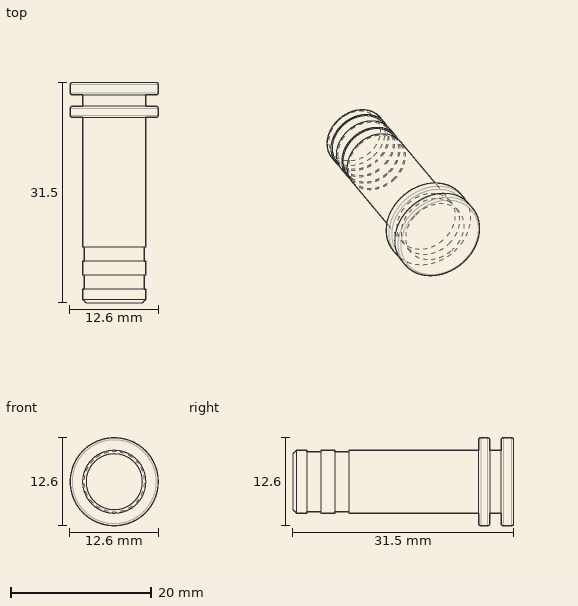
import cadquery as cq

length = 31.5
shank_diameter = 9.0
flange_diameter = 12.6

tip_chamfer = 0.5
grooved_length = 8.0
band_width = grooved_length / 4
groove_diameter = 8.6
groove_starts = [band_width, 3 * band_width]

head_thickness = 1.8
gap_width = 1.6
collar_thickness = 1.6
flange_edge_radius = 0.3


def disc(diameter, start, thickness):
    """Cylinder along +Y whose near face is the given distance from the tip."""
    return (
        cq.Workplane("XZ", origin=(0, start - length / 2, 0))
        .circle(diameter / 2)
        .extrude(-thickness)
    )


def flange(start, thickness):
    """Flange with both rim edges rounded."""
    return disc(flange_diameter, start, thickness).edges().fillet(flange_edge_radius)


def groove_cutter(start):
    """Ring that reduces the shank to the groove diameter."""
    outer = disc(flange_diameter, start, band_width)
    return outer.cut(disc(groove_diameter, start, band_width))


shank = disc(shank_diameter, 0, length).faces("<Y").chamfer(tip_chamfer)
for groove_start in groove_starts:
    shank = shank.cut(groove_cutter(groove_start))

head_start = length - head_thickness
collar_start = head_start - gap_width - collar_thickness

result = (
    shank
    .union(flange(head_start, head_thickness))
    .union(flange(collar_start, collar_thickness))
)